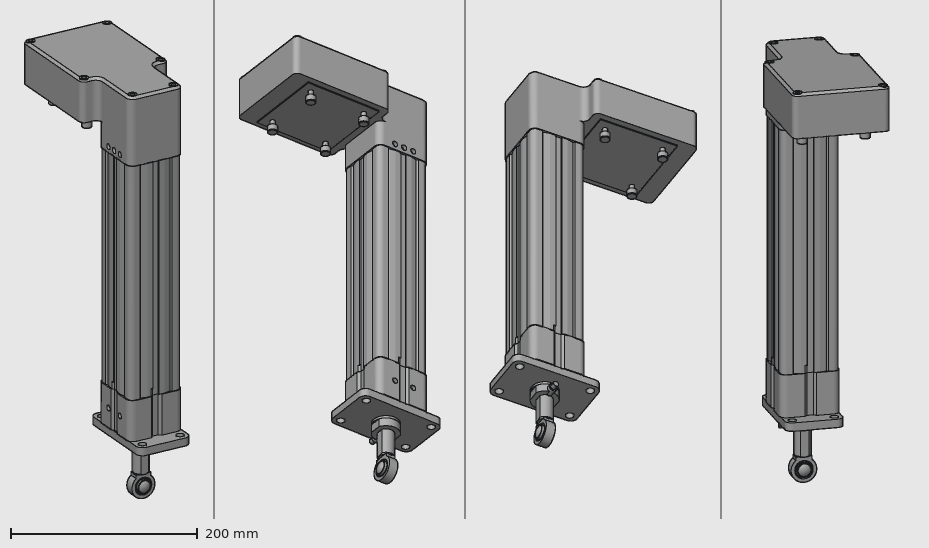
import cadquery as cq
import math


EYE_CENTRE_Z = -59.5
ROD_BOTTOM_Z = -44.8
GLAND_BOTTOM_Z = -13.0
COLLAR_BOTTOM_Z = -3.0
FLANGE_TOP_Z = 9.525
BLOCK_TOP_Z = 57.6
DRIVE_HEAD_BOTTOM_Z = 332.4
MOTOR_BOX_BOTTOM_Z = 363.2
EYE_RADIUS = 14.3
OVERALL_HEIGHT = 487.66
HOUSING_TOP_Z = EYE_CENTRE_Z - EYE_RADIUS + OVERALL_HEIGHT

FLANGE_LENGTH = 104.8
OVERALL_LENGTH = 210.44
FLANGE_WIDTH = 64.3
FLANGE_CORNER_RADIUS = 7.94
FLANGE_HOLE_DIAMETER = 9.14
FLANGE_HOLE_SPACING_X = 85.8
FLANGE_HOLE_SPACING_Y = 46.8

HEAD_WIDTH = 66.675
HEAD_CORNER_RADIUS = 7.94
GROOVE_FLOOR_HALF_WIDTH = 3.6
GROOVE_MOUTH_HALF_WIDTH = 6.4
BLOCK_GROOVE_DEPTH = 2.8
SET_SCREW_DIAMETER = 6.38
SET_SCREW_DEPTH = 5.0
SET_SCREW_SPACING = 24.0
BLOCK_SET_SCREW_Z = 33.0
DRIVE_HEAD_SET_SCREW_Z = 339.6
DRIVE_HEAD_PORT_DIAMETER = 6.76

TUBE_WIDTH = 64.3
TUBE_CORNER_RADIUS = 6.35
SIDE_SLOT_OUTER = 19.8
SIDE_SLOT_INNER = 16.8
SIDE_SLOT_DEPTH = 2.2
RAMP_DROP = 1.4
RAMP_INNER = 10.6
CENTRE_SLOT_DEPTH = 1.6
RUNOUT_HEIGHT = 8.6

COLLAR_DIAMETER = 31.5
GLAND_NOSE_DIAMETER = 31.3
GLAND_WIDTH_ACROSS_FLATS = 28.2
FITTING_Z = -9.0
FITTING_BASE_DIAMETER = 9.53
FITTING_BASE_REACH = 19.5
FITTING_DIAMETER = 6.35
FITTING_REACH = 26.0

ROD_DIAMETER = 19.05
ROD_WIDTH_ACROSS_FLATS = 16.6
ROD_CHAMFER = 1.5
EYE_THICKNESS = 11.18
EYE_NECK_WIDTH = 18.3
BALL_DIAMETER = 20.8
BALL_SHOULDER_DIAMETER = 16.0
BALL_SHOULDER_LENGTH = 15.2
RACE_MOUTH_DIAMETER = 20.6
RACE_CONE_DEPTH = 1.0
RACE_CONE_FLOOR_DIAMETER = 18.6

MOTOR_BOX_WIDTH = 107.95
MOTOR_BOX_RIGHT_X = -32.9
MOTOR_BOX_LEFT_X = FLANGE_LENGTH / 2 - OVERALL_LENGTH
MOTOR_BOX_CORNER_RADIUS = 6.35
INNER_CORNER_RADIUS = 7.94
COVER_CHAMFER = 3.0
HOUSING_SCREW_DIAMETER = 9.53
HOUSING_SCREW_RECESS_DIAMETER = 9.75
HOUSING_SCREW_RECESS_DEPTH = 0.5
HOUSING_SCREW_HEAD_HEIGHT = 3.5
HOUSING_SCREW_SOCKET_DIAMETER = 4.98
HOUSING_SCREW_SOCKET_DEPTH = 2.0

MOTOR_X = -89.6
MOTOR_PAD_SIZE = 93.6
MOTOR_PAD_THICKNESS = 1.5
MOTOR_PAD_BOTTOM_Z = MOTOR_BOX_BOTTOM_Z - MOTOR_PAD_THICKNESS
MOTOR_SCREW_SPACING = 70.0
MOTOR_SCREW_SHANK_DIAMETER = 6.0
MOTOR_SCREW_SHANK_LENGTH = 7.0
MOTOR_SCREW_HEAD_DIAMETER = 11.18
MOTOR_SCREW_HEAD_HEIGHT = 7.6
MOTOR_SCREW_HEAD_CHAMFER = 0.8


def rounded_prism(length, width, bottom_z, top_z, radius):
    """Rectangular column on the rod axis with rounded vertical edges."""
    column = cq.Workplane("XY").workplane(offset=bottom_z).rect(length, width)
    return column.extrude(top_z - bottom_z).edges("|Z").fillet(radius)


def cylinder_z(x, y, bottom_z, top_z, diameter):
    disc = cq.Workplane("XY").workplane(offset=bottom_z).center(x, y).circle(diameter / 2)
    return disc.extrude(top_z - bottom_z)


def cylinder_y(x, z, start_y, end_y, diameter):
    """Cylinder that runs from start_y to the larger end_y."""
    disc = cq.Workplane("XZ", origin=(x, start_y, z)).circle(diameter / 2)
    return disc.extrude(start_y - end_y)


def blind_side_hole(x, z, diameter):
    """Blind round hole in the -Y face of a head."""
    face_y = -HEAD_WIDTH / 2
    return cylinder_y(x, z, face_y, face_y + SET_SCREW_DEPTH, diameter)


def face_cutter(points, bottom_z, top_z):
    """Column with the given outline, drawn against the -Y face."""
    outline = cq.Workplane("XY").workplane(offset=bottom_z).polyline(points).close()
    return outline.extrude(top_z - bottom_z)


def cut_on_four_faces(body, cutter):
    for quarter in range(4):
        body = body.cut(cutter.rotate((0, 0, 0), (0, 0, 1), 90 * quarter))
    return body


def make_tube():
    tube = rounded_prism(TUBE_WIDTH, TUBE_WIDTH, BLOCK_TOP_Z, DRIVE_HEAD_BOTTOM_Z, TUBE_CORNER_RADIUS)
    face_y = -TUBE_WIDTH / 2
    slot_floor_y = face_y + SIDE_SLOT_DEPTH
    slot_middle = (SIDE_SLOT_OUTER + SIDE_SLOT_INNER) / 2
    for side in (-1, 1):
        side_slot = [
            (side * SIDE_SLOT_OUTER, face_y),
            (side * slot_middle, slot_floor_y),
            (side * SIDE_SLOT_INNER, face_y + RAMP_DROP),
            (side * RAMP_INNER, face_y),
        ]
        tube = cut_on_four_faces(tube, face_cutter(side_slot, BLOCK_TOP_Z, DRIVE_HEAD_BOTTOM_Z))

    floor_y = face_y + CENTRE_SLOT_DEPTH
    centre_slot = [
        (-GROOVE_FLOOR_HALF_WIDTH, face_y),
        (GROOVE_FLOOR_HALF_WIDTH, face_y),
        (GROOVE_FLOOR_HALF_WIDTH, floor_y),
        (-GROOVE_FLOOR_HALF_WIDTH, floor_y),
    ]
    tube = cut_on_four_faces(tube, face_cutter(centre_slot, BLOCK_TOP_Z, DRIVE_HEAD_BOTTOM_Z))

    runout = [
        (-GROOVE_MOUTH_HALF_WIDTH, face_y),
        (-GROOVE_FLOOR_HALF_WIDTH, face_y),
        (-GROOVE_FLOOR_HALF_WIDTH, floor_y),
    ]
    return cut_on_four_faces(tube, face_cutter(runout, BLOCK_TOP_Z, BLOCK_TOP_Z + RUNOUT_HEIGHT))


def make_front_block():
    block = rounded_prism(HEAD_WIDTH, HEAD_WIDTH, FLANGE_TOP_Z, BLOCK_TOP_Z, HEAD_CORNER_RADIUS)
    face_y = -HEAD_WIDTH / 2
    floor_y = face_y + BLOCK_GROOVE_DEPTH
    groove = [
        (-GROOVE_MOUTH_HALF_WIDTH, face_y),
        (GROOVE_MOUTH_HALF_WIDTH, face_y),
        (GROOVE_FLOOR_HALF_WIDTH, floor_y),
        (-GROOVE_FLOOR_HALF_WIDTH, floor_y),
    ]
    block = cut_on_four_faces(block, face_cutter(groove, FLANGE_TOP_Z, BLOCK_TOP_Z))
    for side in (-1, 1):
        x = side * SET_SCREW_SPACING / 2
        block = block.cut(blind_side_hole(x, BLOCK_SET_SCREW_Z, SET_SCREW_DIAMETER))
    return block


def make_flange():
    flange = rounded_prism(FLANGE_LENGTH, FLANGE_WIDTH, 0, FLANGE_TOP_Z, FLANGE_CORNER_RADIUS)
    top = flange.faces(">Z").workplane()
    holes = top.rarray(FLANGE_HOLE_SPACING_X, FLANGE_HOLE_SPACING_Y, 2, 2)
    return holes.hole(FLANGE_HOLE_DIAMETER)


def make_gland():
    collar = cylinder_z(0, 0, COLLAR_BOTTOM_Z, 0, COLLAR_DIAMETER)
    nose = cylinder_z(0, 0, GLAND_BOTTOM_Z, COLLAR_BOTTOM_Z, GLAND_NOSE_DIAMETER)
    flats = cq.Workplane("XY").workplane(offset=GLAND_BOTTOM_Z)
    flats = flats.rect(GLAND_WIDTH_ACROSS_FLATS, COLLAR_DIAMETER).extrude(COLLAR_BOTTOM_Z - GLAND_BOTTOM_Z)
    fitting_start_y = ROD_DIAMETER / 2
    fitting_base = cylinder_y(0, FITTING_Z, fitting_start_y, FITTING_BASE_REACH, FITTING_BASE_DIAMETER)
    fitting = cylinder_y(0, FITTING_Z, fitting_start_y, FITTING_REACH, FITTING_DIAMETER)
    return collar.union(nose.intersect(flats)).union(fitting_base).union(fitting)


def make_actuator():
    return make_tube().union(make_front_block()).union(make_flange()).union(make_gland())


def make_ball():
    """Ball of the rod eye: a straight shoulder with a spherical dome on each side."""
    ball_radius = BALL_DIAMETER / 2
    shoulder_x = BALL_SHOULDER_LENGTH / 2
    shoulder_radius = BALL_SHOULDER_DIAMETER / 2
    dome_radius = math.sqrt(ball_radius**2 - shoulder_x**2)
    dome_mid_angle = math.atan2(dome_radius, shoulder_x) / 2
    dome_mid_x = ball_radius * math.cos(dome_mid_angle)
    dome_mid_radius = ball_radius * math.sin(dome_mid_angle)
    profile = cq.Workplane("XY", origin=(0, 0, EYE_CENTRE_Z)).moveTo(-ball_radius, 0)
    profile = profile.threePointArc((-dome_mid_x, dome_mid_radius), (-shoulder_x, dome_radius))
    profile = profile.lineTo(-shoulder_x, shoulder_radius).lineTo(shoulder_x, shoulder_radius)
    profile = profile.lineTo(shoulder_x, dome_radius)
    profile = profile.threePointArc((dome_mid_x, dome_mid_radius), (ball_radius, 0)).close()
    return profile.revolve(360, (0, 0, 0), (1, 0, 0))


def make_rod():
    rod = cylinder_z(0, 0, ROD_BOTTOM_Z, GLAND_BOTTOM_Z, ROD_DIAMETER)
    rod = rod.faces("<Z").chamfer(ROD_CHAMFER)
    flats = cq.Workplane("XY").workplane(offset=ROD_BOTTOM_Z)
    flats = flats.rect(ROD_WIDTH_ACROSS_FLATS, ROD_DIAMETER).extrude(GLAND_BOTTOM_Z - ROD_BOTTOM_Z)
    rod = rod.intersect(flats)

    eye_plane = cq.Workplane("YZ", origin=(0, 0, EYE_CENTRE_Z))
    eye = eye_plane.circle(EYE_RADIUS).extrude(EYE_THICKNESS / 2, both=True)
    neck = cq.Workplane("XY").workplane(offset=EYE_CENTRE_Z).rect(EYE_THICKNESS, EYE_NECK_WIDTH)
    neck = neck.extrude(ROD_BOTTOM_Z - EYE_CENTRE_Z)

    floor_x = EYE_THICKNESS / 2 - RACE_CONE_DEPTH
    cone = cq.Workplane("YZ", origin=(floor_x, 0, EYE_CENTRE_Z)).circle(RACE_CONE_FLOOR_DIAMETER / 2)
    cone = cone.workplane(offset=RACE_CONE_DEPTH).circle(RACE_MOUTH_DIAMETER / 2).loft()
    eye = eye.union(neck).cut(cone).cut(cone.mirror("YZ"))
    return rod.union(eye).union(make_ball())


def cover_screw_places():
    box_inset = MOTOR_BOX_CORNER_RADIUS
    box_y = MOTOR_BOX_WIDTH / 2 - box_inset
    head_place = HEAD_WIDTH / 2 - HEAD_CORNER_RADIUS
    places = []
    for side in (-1, 1):
        places.append((MOTOR_BOX_LEFT_X + box_inset, side * box_y))
        places.append((MOTOR_BOX_RIGHT_X - box_inset, side * box_y))
        places.append((head_place, side * head_place))
    return places


def motor_screw_places():
    half = MOTOR_SCREW_SPACING / 2
    return [(MOTOR_X + side_x * half, side_y * half) for side_x in (-1, 1) for side_y in (-1, 1)]


def make_upper_housing():
    """T-shaped box: the wide motor end and the narrow end over the tube."""
    half_box = MOTOR_BOX_WIDTH / 2
    half_head = HEAD_WIDTH / 2
    outline = [
        (MOTOR_BOX_LEFT_X, -half_box),
        (MOTOR_BOX_RIGHT_X, -half_box),
        (MOTOR_BOX_RIGHT_X, -half_head),
        (half_head, -half_head),
        (half_head, half_head),
        (MOTOR_BOX_RIGHT_X, half_head),
        (MOTOR_BOX_RIGHT_X, half_box),
        (MOTOR_BOX_LEFT_X, half_box),
    ]
    box = cq.Workplane("XY").workplane(offset=MOTOR_BOX_BOTTOM_Z).polyline(outline).close()
    box = box.extrude(HOUSING_TOP_Z - MOTOR_BOX_BOTTOM_Z)
    middle_z = (HOUSING_TOP_Z + MOTOR_BOX_BOTTOM_Z) / 2

    def edges_at(places):
        picked = box.edges(cq.selectors.NearestToPointSelector((*places[0], middle_z)))
        for place in places[1:]:
            picked = picked.add(box.edges(cq.selectors.NearestToPointSelector((*place, middle_z))))
        return picked

    box = edges_at([outline[0], outline[1], outline[6], outline[7]]).fillet(MOTOR_BOX_CORNER_RADIUS)
    box = edges_at([outline[3], outline[4]]).fillet(HEAD_CORNER_RADIUS)
    box = edges_at([outline[2], outline[5]]).fillet(INNER_CORNER_RADIUS)
    return box.faces(">Z").edges().chamfer(COVER_CHAMFER)


def make_housing():
    drive_head = rounded_prism(
        HEAD_WIDTH, HEAD_WIDTH, DRIVE_HEAD_BOTTOM_Z, MOTOR_BOX_BOTTOM_Z, HEAD_CORNER_RADIUS
    )
    pad = cq.Workplane("XY", origin=(MOTOR_X, 0, MOTOR_PAD_BOTTOM_Z))
    pad = pad.rect(MOTOR_PAD_SIZE, MOTOR_PAD_SIZE).extrude(MOTOR_PAD_THICKNESS)
    housing = make_upper_housing().union(drive_head).union(pad)

    screw_top_z = HOUSING_TOP_Z - HOUSING_SCREW_RECESS_DEPTH
    screw_bottom_z = screw_top_z - HOUSING_SCREW_HEAD_HEIGHT
    socket_floor_z = screw_top_z - HOUSING_SCREW_SOCKET_DEPTH
    for x, y in cover_screw_places():
        screw_head = cylinder_z(x, y, screw_bottom_z, screw_top_z, HOUSING_SCREW_DIAMETER)
        recess = cylinder_z(x, y, screw_top_z, HOUSING_TOP_Z, HOUSING_SCREW_RECESS_DIAMETER)
        socket = cylinder_z(x, y, socket_floor_z, screw_top_z, HOUSING_SCREW_SOCKET_DIAMETER)
        housing = housing.union(screw_head).cut(recess).cut(socket)

    for side in (-1, 1):
        x = side * SET_SCREW_SPACING / 2
        housing = housing.cut(blind_side_hole(x, DRIVE_HEAD_SET_SCREW_Z, SET_SCREW_DIAMETER))
    return housing.cut(blind_side_hole(0, DRIVE_HEAD_SET_SCREW_Z, DRIVE_HEAD_PORT_DIAMETER))


def make_motor_screw(x, y):
    """Cap screw that hangs from the motor pad."""
    head_top_z = MOTOR_PAD_BOTTOM_Z - MOTOR_SCREW_SHANK_LENGTH
    head_bottom_z = head_top_z - MOTOR_SCREW_HEAD_HEIGHT
    head = cylinder_z(x, y, head_bottom_z, head_top_z, MOTOR_SCREW_HEAD_DIAMETER)
    head = head.faces("<Z").chamfer(MOTOR_SCREW_HEAD_CHAMFER)
    return head.union(cylinder_z(x, y, head_top_z, MOTOR_PAD_BOTTOM_Z, MOTOR_SCREW_SHANK_DIAMETER))


actuator = make_actuator()
rod = make_rod()
housing = make_housing()
motor_screws = [make_motor_screw(x, y) for x, y in motor_screw_places()]

result = cq.Compound.makeCompound(
    [actuator.val(), rod.val(), housing.val(), *[screw.val() for screw in motor_screws]]
)